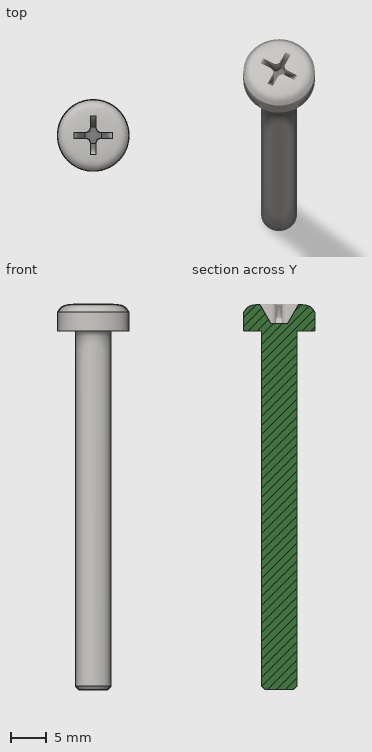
import cadquery as cq

shank_diameter = 5.0
shank_length = 50.0
tip_chamfer = 0.5

head_diameter = 10.0
head_height = 3.79
rim_height = 2.65
crown_corner_radius = 4.2

recess_span = 5.4
recess_floor_span = 2.3
wing_width = 0.8
recess_depth = 2.7
core_corner_radius = 0.7

head_radius = head_diameter / 2
head_top = shank_length + head_height


def make_shank():
    shank = cq.Workplane("XY").circle(shank_diameter / 2).extrude(shank_length)
    return shank.faces("<Z").chamfer(tip_chamfer)


def make_head():
    apex = (0, head_top)
    rim_top = (head_radius, shank_length + rim_height)
    crown_corner = (crown_corner_radius, head_top)
    profile = (
        cq.Workplane("XZ")
        .moveTo(0, shank_length)
        .lineTo(*apex)
        .bezier([apex, crown_corner, crown_corner, rim_top])
        .lineTo(head_radius, shank_length)
        .close()
    )
    return profile.revolve(360, (0, 0), (0, 1))


def make_wing_pair():
    """Two opposite wings along X whose outer ends slope inward to the floor."""
    return (
        cq.Workplane("XZ")
        .moveTo(-recess_span / 2, head_top)
        .lineTo(recess_span / 2, head_top)
        .lineTo(recess_floor_span / 2, head_top - recess_depth)
        .lineTo(-recess_floor_span / 2, head_top - recess_depth)
        .close()
        .extrude(wing_width / 2, both=True)
    )


def make_recess():
    wings = make_wing_pair()
    cross = wings.union(wings.rotate((0, 0, 0), (0, 0, 1), 90))
    return cross.edges("|Z").fillet(core_corner_radius)


result = make_shank().union(make_head()).cut(make_recess())